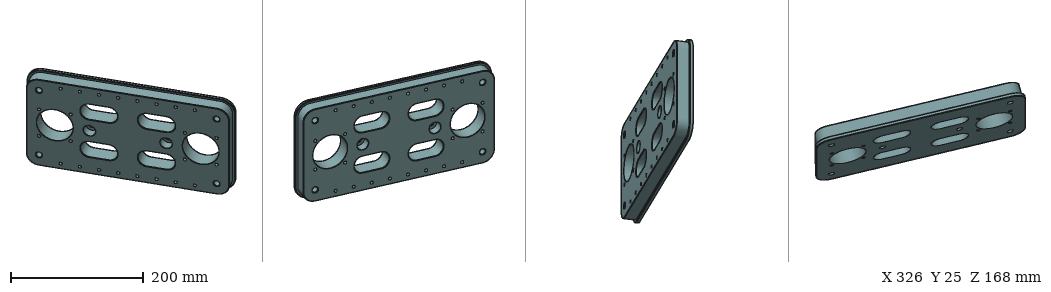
import cadquery as cq
import math

flange_length = 326.0
flange_height = 168.0
thickness = 25.0
flange_thickness = 6.0
body_length = 318.0
body_height = 160.0
body_corner_radius = 20.0
edge_chamfer = 1.0
fine_chamfer = 0.5
chamfer_angle = 45

flange_overhang = (flange_length - body_length) / 2
flange_corner_radius = body_corner_radius + flange_overhang
front_y = -thickness / 2
back_y = thickness / 2

bore_diameter = 57.0
bore_x = 114.0
bore_screw_diameter = 5.0
bore_screw_offset = 24.8

slot_length = 58.0
slot_height = 28.0
slot_x = 45.0
slot_z = 35.0

counterbore_diameter = 19.0
counterbore_depth = 15.0
counterbore_hole_diameter = 9.0
counterbore_x = 60.0

corner_hole_diameter = 9.0

row_hole_diameter = 5.0
row_hole_depth = 15.0
drill_tip_angle = 118
row_hole_count = 8
row_hole_pitch = 30.0
row_z = 70.0


def front_plane():
    """Workplane on the front face, with its normal pointing out toward -Y."""
    return cq.Workplane("XZ", origin=(0, front_y, 0))


def mirrored_points(x, z):
    """The four points at plus and minus x and z."""
    return [(sx * x, sz * z) for sx in (-1, 1) for sz in (-1, 1)]


def rounded_plate(length, height, corner_radius, start_y, depth):
    """Round-cornered plate running from start_y toward +Y."""
    return (
        cq.Workplane("XZ", origin=(0, start_y, 0))
        .rect(length, height)
        .extrude(-depth)
        .edges("|Y")
        .fillet(corner_radius)
    )


def round_holes(points, diameter, depth):
    """Cylinders running from the front face into the plate."""
    return front_plane().pushPoints(points).circle(diameter / 2).extrude(-depth)


def eased_holes(points, diameter, depth):
    """Round holes whose front rims carry the fine chamfer."""
    rim_radius = diameter / 2 + fine_chamfer
    rims = front_plane().pushPoints(points).circle(rim_radius).extrude(
        -fine_chamfer, taper=chamfer_angle
    )
    return round_holes(points, diameter, depth).union(rims)


body = rounded_plate(body_length, body_height, body_corner_radius, front_y, thickness)
flange = rounded_plate(
    flange_length, flange_height, flange_corner_radius, back_y - flange_thickness, flange_thickness
)
flange = flange.faces("<Y or >Y").chamfer(edge_chamfer)
plate = body.union(flange)

bore_centres = [(-bore_x, 0), (bore_x, 0)]
bore_screws = [
    (centre_x + dx, dz)
    for centre_x, _ in bore_centres
    for dx, dz in mirrored_points(bore_screw_offset, bore_screw_offset)
]
bores = eased_holes(bore_centres, bore_diameter, thickness)
bore_screw_holes = round_holes(bore_screws, bore_screw_diameter, thickness)

slots = (
    front_plane()
    .pushPoints(mirrored_points(slot_x, slot_z))
    .slot2D(slot_length, slot_height)
    .extrude(-thickness)
)

counterbore_centres = [(-counterbore_x, 0), (counterbore_x, 0)]
counterbore_holes = round_holes(counterbore_centres, counterbore_hole_diameter, thickness)
counterbores = eased_holes(counterbore_centres, counterbore_diameter, counterbore_depth)

corner_hole_points = mirrored_points(
    body_length / 2 - body_corner_radius, body_height / 2 - body_corner_radius
)
corner_holes = round_holes(corner_hole_points, corner_hole_diameter, thickness)

drill_tip_length = row_hole_diameter / 2 / math.tan(math.radians(drill_tip_angle / 2))
row_start = -row_hole_pitch * (row_hole_count - 1) / 2
row_points = [
    (row_start + index * row_hole_pitch, side * row_z)
    for side in (-1, 1)
    for index in range(row_hole_count)
]
row_holes = round_holes(row_points, row_hole_diameter, row_hole_depth)
drill_tip = cq.Solid.makeCone(
    row_hole_diameter / 2, 0, drill_tip_length, dir=cq.Vector(0, 1, 0)
)
for x, z in row_points:
    row_holes = row_holes.union(
        cq.Workplane(drill_tip.translate(cq.Vector(x, front_y + row_hole_depth, z)))
    )

result = plate.cut(slots).cut(corner_holes).faces("<Y").chamfer(edge_chamfer)

for holes in (bores, bore_screw_holes, counterbores, counterbore_holes, row_holes):
    result = result.cut(holes)